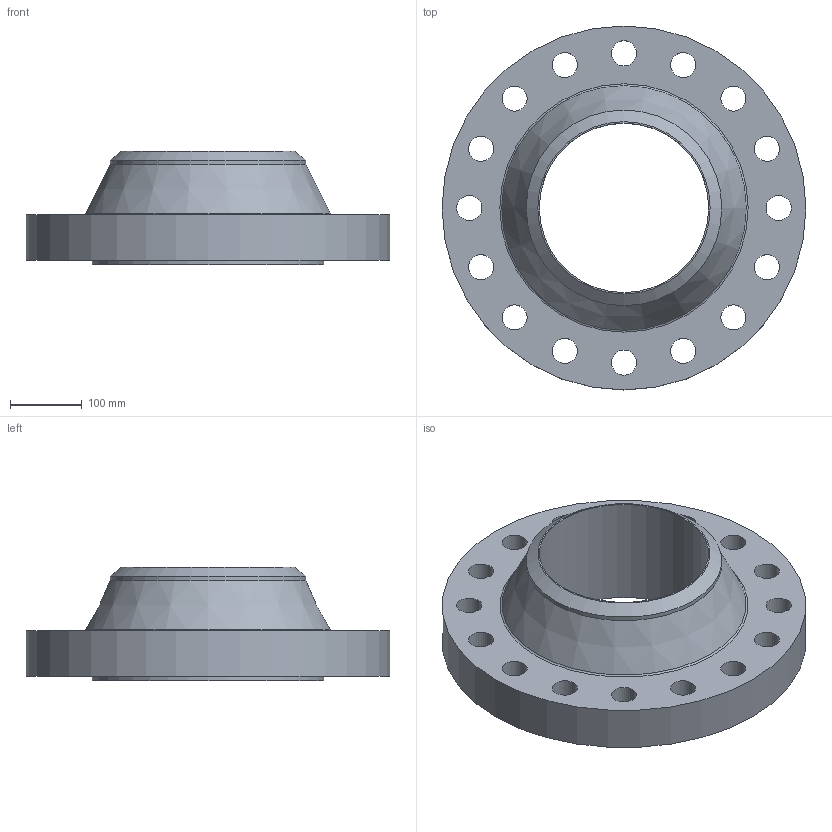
import cadquery as cq
import math

flange_diameter = 508.0
flange_thickness = 63.5
face_diameter = 323.8
face_height = 6.35

total_height = 158.75
hub_base_diameter = 342.9
neck_diameter = 273.05
neck_land_height = 6.0
hub_fillet_radius = 3.0
selection_margin = 1.0

neck_wall = 18.26
root_land = 2.0
bevel_angle = 37.5
bore_diameter = neck_diameter - 2 * neck_wall

bolt_count = 16
bolt_circle_diameter = 431.8
bolt_hole_diameter = 35.0

flange_bottom = face_height
flange_top = flange_bottom + flange_thickness
bevel_height = (neck_wall - root_land) * math.tan(math.radians(bevel_angle))
bevel_bottom = total_height - bevel_height
cone_top = bevel_bottom - neck_land_height


def make_disc():
    """Flange disc with the raised sealing face underneath."""
    face = cq.Workplane("XY").circle(face_diameter / 2).extrude(face_height)
    disc = (
        cq.Workplane("XY")
        .workplane(offset=flange_bottom)
        .circle(flange_diameter / 2)
        .extrude(flange_thickness)
    )
    return disc.union(face)


def make_hub():
    """Tapered hub, short cylindrical land and bevelled weld end, as a solid of revolution."""
    profile = [
        (0, flange_bottom),
        (hub_base_diameter / 2, flange_bottom),
        (hub_base_diameter / 2, flange_top),
        (neck_diameter / 2, cone_top),
        (neck_diameter / 2, bevel_bottom),
        (bore_diameter / 2 + root_land, total_height),
        (0, total_height),
    ]
    return cq.Workplane("XZ").polyline(profile).close().revolve(360, (0, 0, 0), (0, 1, 0))


def fillet_hub_base(body):
    """Round the inside corner where the hub meets the top of the disc."""
    reach = hub_base_diameter / 2 + selection_margin
    low_corner = (-reach, -reach, flange_top - selection_margin)
    high_corner = (reach, reach, flange_top + selection_margin)
    corner_edge = cq.selectors.BoxSelector(low_corner, high_corner, boundingbox=True)
    return body.edges(corner_edge).fillet(hub_fillet_radius)


def cut_bore(body):
    """Cut the straight bore through the whole height."""
    bore = cq.Workplane("XY").circle(bore_diameter / 2).extrude(total_height)
    return body.cut(bore)


def cut_bolt_holes(body):
    """Drill the equally spaced bolt holes, the first one on the X axis."""
    holes = (
        cq.Workplane("XY")
        .workplane(offset=flange_bottom)
        .polarArray(bolt_circle_diameter / 2, 0, 360, bolt_count)
        .circle(bolt_hole_diameter / 2)
        .extrude(flange_thickness)
    )
    return body.cut(holes)


body = fillet_hub_base(make_disc().union(make_hub()))
result = cut_bolt_holes(cut_bore(body))